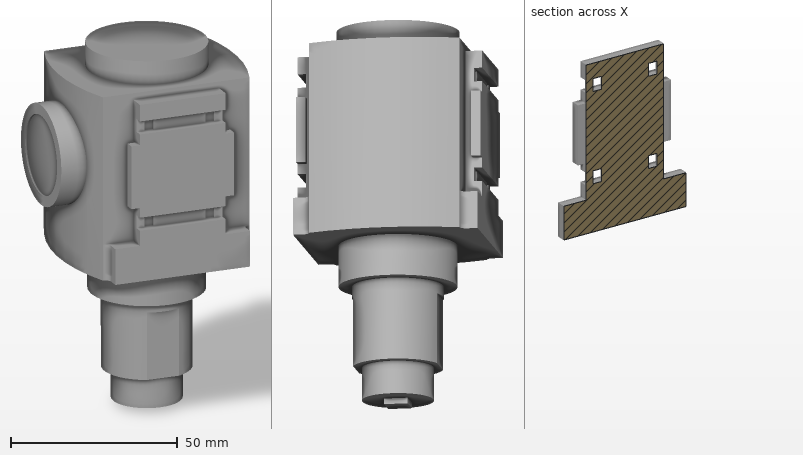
import cadquery as cq

total_height = 114.5
tip_top = 1.7
lower_stem_top = 11.7
flat_top = 33.1
neck_top = 36.5
flange_bottom = 49.0
flange_top = 60.4
pad_top = 105.1
body_top = 107.2

cap_diameter = 37.0
collar_diameter = 35.7
neck_diameter = 27.6
lower_stem_diameter = 21.6
tip_width = 7.2
neck_flats_width = 25.5

overall_depth = 62.3
body_width = 45.9
body_depth = 56.0
body_corner_y = 23.8

overall_width = 56.2
flange_side_depth = 43.7
flange_fillet = body_corner_y - flange_side_depth / 2

pad_depth = 27.8
groove_height = 4.1
groove_depth = 2.5
groove_centers_z = (67.2, 97.8)
ear_overhang = 2.7
ear_thickness = 2.9
ear_bottom = 72.4
ear_top = 92.3

recess_length = 2.9
recess_depth = 1.0
recess_center_y = 9.8

port_diameter = 31.6
port_face_y = body_depth / 2 - overall_depth
port_center_z = 82.9
port_recess_diameter = 25.0
port_recess_depth = 0.6


def disc(diameter, bottom, top):
    """Cylinder on the main axis between two levels."""
    return cq.Workplane("XY").workplane(offset=bottom).circle(diameter / 2).extrude(top - bottom)


def block(x_size, y_size, bottom, top, x_center=0.0, y_center=0.0):
    """Rectangular block between two levels."""
    base = cq.Workplane("XY").workplane(offset=bottom).center(x_center, y_center)
    return base.rect(x_size, y_size).extrude(top - bottom)


def make_body():
    """Main body with crowned front and back faces."""
    half_width = body_width / 2
    half_depth = body_depth / 2
    return (
        cq.Workplane("XY")
        .workplane(offset=flange_bottom)
        .moveTo(-half_width, -body_corner_y)
        .threePointArc((0, -half_depth), (half_width, -body_corner_y))
        .lineTo(half_width, body_corner_y)
        .threePointArc((0, half_depth), (-half_width, body_corner_y))
        .close()
        .extrude(body_top - flange_bottom)
    )


def make_flange():
    """Side flanges that run into the body corners through concave fillets."""
    fillet_center_x = body_width / 2 + flange_fillet
    flange = block(overall_width, flange_side_depth, flange_bottom, flange_top)
    corner_width = 2 * fillet_center_x
    flange = flange.union(block(corner_width, 2 * body_corner_y, flange_bottom, flange_top))
    scoops = (
        cq.Workplane("XY")
        .workplane(offset=flange_bottom)
        .rect(corner_width, 2 * body_corner_y, forConstruction=True)
        .vertices()
        .circle(flange_fillet)
        .extrude(flange_top - flange_bottom)
    )
    return flange.cut(scoops)


def make_stem():
    """Stepped stem below the body; the neck has a flat on each side."""
    neck = disc(neck_diameter, lower_stem_top, neck_top)
    flats = block(neck_flats_width, neck_diameter, lower_stem_top, flat_top)
    full_neck = disc(neck_diameter, flat_top, neck_top)
    return (
        neck.intersect(flats)
        .union(full_neck)
        .union(disc(collar_diameter, neck_top, flange_bottom))
        .union(disc(lower_stem_diameter, tip_top, lower_stem_top))
        .union(block(tip_width, tip_width, 0, tip_top))
    )


def make_pads():
    """Pads on both sides of the body, with ears, grooves and groove recesses."""
    pads = block(overall_width, pad_depth, flange_top, pad_top)
    for side in (-1, 1):
        outer_x = side * overall_width / 2
        ear_x = outer_x - side * ear_thickness / 2
        ears = block(ear_thickness, pad_depth + 2 * ear_overhang, ear_bottom, ear_top, ear_x)
        pads = pads.union(ears)
        groove_x = outer_x - side * groove_depth / 2
        recess_total = groove_depth + recess_depth
        recess_x = outer_x - side * recess_total / 2
        for center_z in groove_centers_z:
            bottom = center_z - groove_height / 2
            top = center_z + groove_height / 2
            pads = pads.cut(block(groove_depth, pad_depth, bottom, top, groove_x))
            for recess_y in (-recess_center_y, recess_center_y):
                pads = pads.cut(block(recess_total, recess_length, bottom, top, recess_x, recess_y))
    return pads


def make_port():
    """Round port boss on the front, from the body axis to the port face."""
    axis_plane = cq.Workplane("XZ").center(0, port_center_z)
    return axis_plane.circle(port_diameter / 2).extrude(-port_face_y)


def make_port_recess():
    """Shallow round recess in the port face."""
    recess_floor = -port_face_y - port_recess_depth
    floor_plane = cq.Workplane("XZ").workplane(offset=recess_floor).center(0, port_center_z)
    return floor_plane.circle(port_recess_diameter / 2).extrude(port_recess_depth)


result = (
    make_body()
    .union(make_flange())
    .union(make_pads())
    .union(make_stem())
    .union(disc(cap_diameter, body_top, total_height))
    .union(make_port())
    .cut(make_port_recess())
)